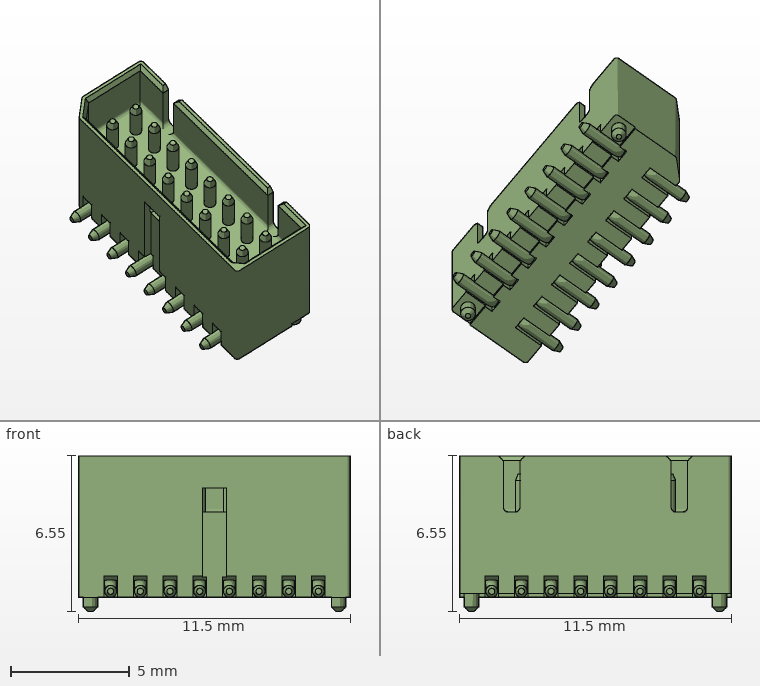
import cadquery as cq
import math

HOUSING_LENGTH = 11.45
HOUSING_DEPTH = 4.0
HOUSING_HEIGHT = 5.95
KEY_CHAMFER = 0.8
INNER_CHAMFER = 0.5
CORNER_RADIUS = 0.15
HALF_LENGTH = HOUSING_LENGTH / 2
HALF_DEPTH = HOUSING_DEPTH / 2

WALL = 0.3
RIM = 0.15
RIM_CHAMFER_HEIGHT = 0.2
FLOOR_Z = 3.6
FLOOR_FILLET = 0.17

SLOT_OFFSET = 3.53
SLOT_WIDTH = 0.7
SLOT_FILLET = 0.2
SLOT_FLARE = 0.2

WINDOW_WIDTH = 1.0
WINDOW_HEIGHT = 1.0
GROOVE_DEPTH = 0.34

COLUMNS = 8
PITCH = 1.25
PIN_DIAMETER = 0.5
PIN_TIP_DIAMETER = 0.26
PIN_TIP_LENGTH = 0.28
PIN_TOP_Z = 5.2
BEND_RADIUS = 0.4
LEAD_SPAN = 5.65
PIN_RADIUS = PIN_DIAMETER / 2
ROW_Y = PITCH / 2

NOTCH_WIDTH = 0.57
NOTCH_OUTER_HEIGHT = 0.9
NOTCH_INNER_HEIGHT = 0.69

STEP_HEIGHT = 0.15
STEP_EDGE_Y = 0.98
PEG_DIAMETER = 0.62
PEG_TIP_DIAMETER = 0.22
PEG_LENGTH = 0.6
PEG_TIP_LENGTH = 0.2
PEG_X = 5.225
PEG_Y = 1.465

MARGIN = 0.5
COLUMN_X = [(i - (COLUMNS - 1) / 2) * PITCH for i in range(COLUMNS)]


def housing_block():
    """Solid block with the keying chamfer and rounded upright edges."""
    outline = [
        (-HALF_LENGTH, HALF_DEPTH),
        (-HALF_LENGTH, -HALF_DEPTH + KEY_CHAMFER),
        (-HALF_LENGTH + KEY_CHAMFER, -HALF_DEPTH),
        (HALF_LENGTH, -HALF_DEPTH),
        (HALF_LENGTH, HALF_DEPTH),
    ]
    block = cq.Workplane("XY").polyline(outline).close().extrude(HOUSING_HEIGHT)
    return block.edges("|Z").fillet(CORNER_RADIUS)


def cavity_outline(inset):
    """Corner points of the cavity at a given distance inside the housing outline."""
    chamfer_loss = inset * (2 - math.sqrt(2))
    left_chamfer = KEY_CHAMFER - chamfer_loss
    right_chamfer = INNER_CHAMFER - chamfer_loss
    x = HALF_LENGTH - inset
    y = HALF_DEPTH - inset
    return [
        (-x, y),
        (-x, -y + left_chamfer),
        (-x + left_chamfer, -y),
        (x - right_chamfer, -y),
        (x, -y + right_chamfer),
        (x, y),
    ]


def cavity():
    """Cavity with a rounded floor edge and a chamfered mouth."""
    depth = HOUSING_HEIGHT - FLOOR_Z
    well = cq.Workplane("XY").workplane(offset=FLOOR_Z)
    well = well.polyline(cavity_outline(WALL)).close().extrude(depth)
    well = well.edges("<Z").fillet(FLOOR_FILLET)
    mouth = (
        cq.Workplane("XY").workplane(offset=HOUSING_HEIGHT - RIM_CHAMFER_HEIGHT)
        .polyline(cavity_outline(WALL)).close()
        .workplane(offset=RIM_CHAMFER_HEIGHT)
        .polyline(cavity_outline(RIM)).close()
        .loft(ruled=True)
    )
    return well.union(mouth)


def back_slot(x):
    """Slot through the back wall: rounded at the floor, flared at the rim."""
    half = SLOT_WIDTH / 2
    flare_z = HOUSING_HEIGHT - RIM_CHAMFER_HEIGHT
    fillet_mid = SLOT_FILLET * (1 - math.sqrt(0.5))
    fillet_end_z = FLOOR_Z + SLOT_FILLET
    slot_start_y = HALF_DEPTH - 2 * (WALL + FLOOR_FILLET)
    slot_length = HALF_DEPTH + MARGIN - slot_start_y
    profile = (
        cq.Workplane("XZ", origin=(x, slot_start_y, 0))
        .moveTo(-half + SLOT_FILLET, FLOOR_Z)
        .lineTo(half - SLOT_FILLET, FLOOR_Z)
        .threePointArc((half - fillet_mid, FLOOR_Z + fillet_mid), (half, fillet_end_z))
        .lineTo(half, flare_z)
        .lineTo(half + SLOT_FLARE, HOUSING_HEIGHT)
        .lineTo(-half - SLOT_FLARE, HOUSING_HEIGHT)
        .lineTo(-half, flare_z)
        .lineTo(-half, fillet_end_z)
        .threePointArc((-half + fillet_mid, FLOOR_Z + fillet_mid), (-half + SLOT_FILLET, FLOOR_Z))
        .close()
    )
    return profile.extrude(-slot_length)


def front_box(depth, bottom_z, top_z):
    """Centred box cutting into the front wall to a given depth."""
    box = cq.Workplane("XY").box(
        WINDOW_WIDTH, depth + MARGIN, top_z - bottom_z, centered=(True, False, False)
    )
    return box.translate((0, -HALF_DEPTH - MARGIN, bottom_z))


def latch_window():
    """Window through the front wall and the groove running down from it."""
    window = front_box(WALL + FLOOR_FILLET, FLOOR_Z, FLOOR_Z + WINDOW_HEIGHT)
    groove = front_box(GROOVE_DEPTH, -MARGIN, FLOOR_Z)
    return window.union(groove)


def lead_notch(x):
    """Front notch for one lead; its ceiling falls towards the pin."""
    profile = [
        (-ROW_Y, -MARGIN),
        (-ROW_Y, NOTCH_INNER_HEIGHT),
        (-HALF_DEPTH, NOTCH_OUTER_HEIGHT),
        (-HALF_DEPTH, -MARGIN),
    ]
    notch = cq.Workplane("YZ").polyline(profile).close()
    return notch.extrude(NOTCH_WIDTH / 2, both=True).translate((x, 0, 0))


def back_step():
    """Shallow step along the bottom of the back edge."""
    step = cq.Workplane("XY").box(
        HOUSING_LENGTH + MARGIN, HOUSING_DEPTH, STEP_HEIGHT, centered=(True, False, False)
    )
    return step.translate((0, STEP_EDGE_Y, 0))


def tapered_pin(radius, tip_radius, length, tip_length):
    """Round pin along +Z from the origin, ending in a conical tip."""
    half_profile = [
        (0, 0),
        (radius, 0),
        (radius, length - tip_length),
        (tip_radius, length),
        (0, length),
    ]
    return cq.Workplane("XZ").polyline(half_profile).close().revolve(360, (0, 0), (0, 1))


def contact(x):
    """Front row contact: upright pin, bend and outward lead."""
    tip_radius = PIN_TIP_DIAMETER / 2
    pin_length = PIN_TOP_Z - PIN_RADIUS - BEND_RADIUS
    lead_length = LEAD_SPAN / 2 - ROW_Y - BEND_RADIUS
    pin = tapered_pin(PIN_RADIUS, tip_radius, pin_length, PIN_TIP_LENGTH)
    lead = tapered_pin(PIN_RADIUS, tip_radius, lead_length, PIN_TIP_LENGTH)
    lead = lead.rotate((0, 0, 0), (1, 0, 0), 90).translate((0, -BEND_RADIUS, -BEND_RADIUS))
    bend = cq.Workplane("XY").circle(PIN_RADIUS)
    bend = bend.revolve(90, (0, -BEND_RADIUS), (-1, -BEND_RADIUS))
    return pin.union(bend).union(lead).translate((x, -ROW_Y, PIN_RADIUS + BEND_RADIUS))


def peg(x):
    """Locating peg hanging from the ceiling of the back step."""
    length = PEG_LENGTH + STEP_HEIGHT
    body = tapered_pin(PEG_DIAMETER / 2, PEG_TIP_DIAMETER / 2, length, PEG_TIP_LENGTH)
    return body.rotate((0, 0, 0), (1, 0, 0), 180).translate((x, PEG_Y, STEP_HEIGHT))


housing = housing_block().cut(cavity()).cut(latch_window()).cut(back_step())
for slot_x in (-SLOT_OFFSET, SLOT_OFFSET):
    housing = housing.cut(back_slot(slot_x))

for column_x in COLUMN_X:
    front_notch = lead_notch(column_x)
    housing = housing.cut(front_notch).cut(front_notch.mirror("XZ"))

for peg_x in (-PEG_X, PEG_X):
    housing = housing.union(peg(peg_x))

for column_x in COLUMN_X:
    front_contact = contact(column_x)
    housing = housing.union(front_contact).union(front_contact.mirror("XZ"))

result = housing